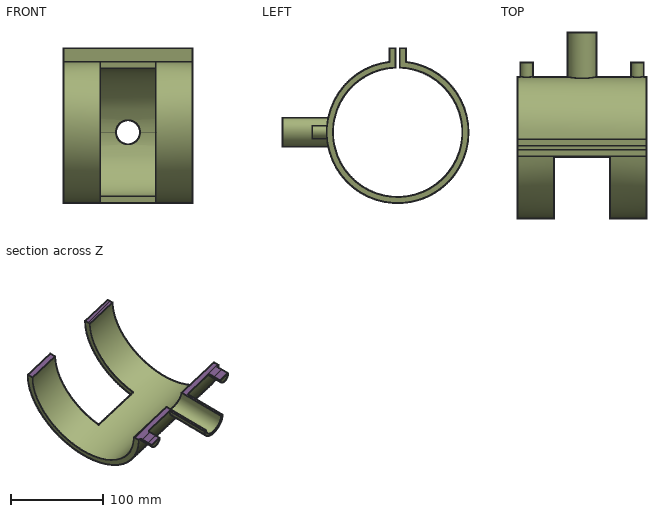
import cadquery as cq

overall_depth = 201.8
overall_height = 168.1

ring_length = 140.0
inner_radius = 70.0
wall = 6.9
outer_radius = inner_radius + wall

lip_top = overall_height - outer_radius
lip_thickness = 6.9
split_gap = 4.5

window_width = 60.3
window_back = -10.0

spigot_end = overall_depth - outer_radius
spigot_radius = 16.0
bore_radius = 13.0
peg_end = 92.5
peg_radius = 7.0
peg_offset = 60.0


def cylinder_along_y(radius, end, x=0):
    """Cylinder from the ring's axis plane out to y = end."""
    return cq.Workplane("XZ").center(x, 0).circle(radius).extrude(-end)


def cylinder_along_x(radius):
    """Cylinder spanning the ring's length, centred on the origin."""
    return cq.Workplane("YZ", origin=(-ring_length / 2, 0, 0)).circle(radius).extrude(ring_length)


lip_block = cq.Workplane("XY").box(
    ring_length, split_gap + 2 * lip_thickness, lip_top, centered=(True, True, False)
)
body = cylinder_along_x(outer_radius).union(lip_block)

body = body.union(cylinder_along_y(spigot_radius, spigot_end))
for x in (-peg_offset, peg_offset):
    body = body.union(cylinder_along_y(peg_radius, peg_end, x))

body = body.cut(cylinder_along_x(inner_radius))
split = cq.Workplane("XY").box(ring_length, split_gap, lip_top, centered=(True, True, False))
body = body.cut(split)
body = body.cut(cylinder_along_y(bore_radius, spigot_end))

window = (
    cq.Workplane("XY")
    .box(window_width, outer_radius, 2 * outer_radius)
    .translate((0, window_back - outer_radius / 2, 0))
)
result = body.cut(window)